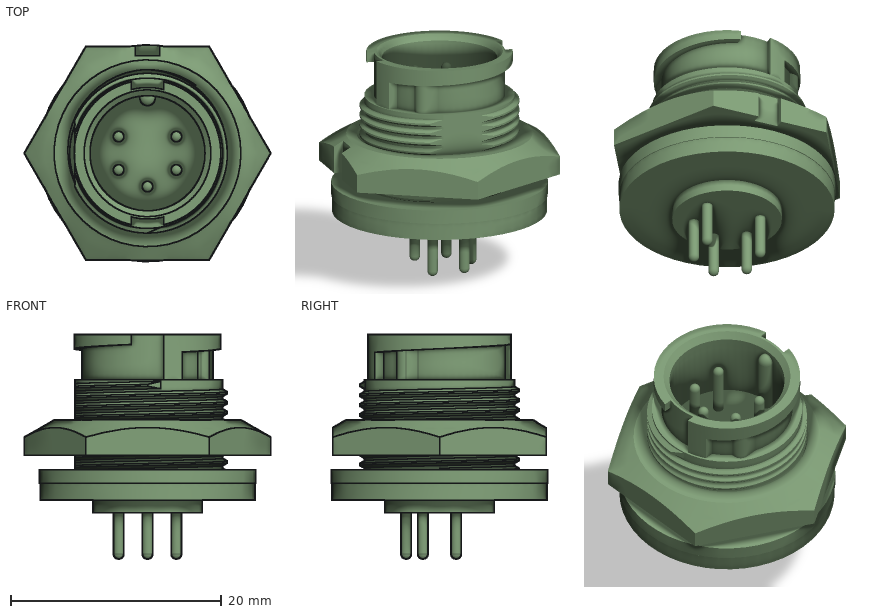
import cadquery as cq
import math


FLANGE_RADIUS = 10.31
FLANGE_RIM_HEIGHT = 1.3
FLANGE_BACK_RADIUS = 10.235
FLANGE_BACK_HEIGHT = 1.61
BOSS_RADIUS = 5.21
BOSS_HEIGHT = 1.2
FLANGE_BOTTOM = -(FLANGE_RIM_HEIGHT + FLANGE_BACK_HEIGHT)
BOSS_BOTTOM = FLANGE_BOTTOM - BOSS_HEIGHT

SHOULDER_Z = 8.54
BARREL_RADIUS = 7.15
BARREL_FLAT_X = -6.9
THREAD_PITCH = 25.4 / 27
THREAD_RADIUS = 7.6
THREAD_CREST_WIDTH = 0.18
THREAD_FLANK_ANGLE = 30
THREAD_ROOT_OVERLAP = 0.05
THREAD_START_Z = 0.72 - THREAD_PITCH
THREAD_END_ANGLE = 280
THREAD_TURNS = 8 + THREAD_END_ANGLE / 360
RUNOUT_X = 1.24
RUNOUT_HEIGHT = 1.0

TOP_Z = 12.85
SLEEVE_RADIUS = 6.25
LUG_RADIUS = 6.97
BORE_RADIUS = 5.47
BORE_FLOOR_Z = 5.47
BORE_CHAMFER = 0.56
NOTCH_HALF_WIDTH = 1.53
RAMP_HIGH_Z = 11.9
RAMP_PITCH = 1.92
STOP_X = 3.3
GROOVE_START_ANGLE = 296
GROOVE_END_ANGLE = 360 + 90
DETENT_FACE_X = 5.89
DETENT_FACE_Y = -4.05
DETENT_CORNER_RADIUS = 0.85

PIN_RADIUS = 0.5
PIN_CIRCLE_RADIUS = 3.17
PIN_ANGLES = (30, 150, 210, 270, 330)
PIN_TOP_Z = 10.83
PIN_BOTTOM_Z = -8.51
KEY_RADIUS = 0.73
KEY_Y = 5.25
KEY_TOP_Z = 11.9

NUT_BOTTOM_Z = 1.34
NUT_HEIGHT = 3.39
NUT_TOP_Z = NUT_BOTTOM_Z + NUT_HEIGHT
NUT_CORNER_RADIUS = 23.46 / 2
NUT_TOP_FACE_RADIUS = 8.88
NUT_CHAMFER_ANGLE = 30
NUT_BORE_RADIUS = 7.4
NUT_GROOVE_RADIUS = 7.94
NUT_GROOVE_ROOT_WIDTH = 0.02
NUT_NOTCH_WIDTH = 2.36
NUT_NOTCH_FLOOR_Y = 9.29

CUT_MARGIN = 1.0


def cylinder(radius, bottom, top):
    return cq.Workplane("XY").workplane(offset=bottom).circle(radius).extrude(top - bottom)


def box(x_range, y_range, z_range):
    spans = [high - low for low, high in (x_range, y_range, z_range)]
    corner = (x_range[0], y_range[0], z_range[0])
    return cq.Workplane("XY").box(*spans, centered=False).translate(corner)


def helical_sweep(section, pitch, turns, start_z):
    """Sweep (radius, height) points right-handed around Z, starting at +X."""
    radius = max(r for r, _ in section)
    path = cq.Workplane(cq.Wire.makeHelix(pitch, turns * pitch, radius))
    body = cq.Workplane("XZ").polyline(section).close().sweep(path, isFrenet=True)
    return body.translate((0, 0, start_z))


def thread_ridge(tip_radius, tip_width, base_radius, turns, start_z):
    """A helical trapezoid, narrow at the tip radius and wide at the base radius."""
    tip_half = tip_width / 2
    flank_spread = (tip_radius - base_radius) * math.tan(math.radians(THREAD_FLANK_ANGLE))
    base_half = tip_half + flank_spread
    section = [
        (base_radius, -base_half),
        (tip_radius, -tip_half),
        (tip_radius, tip_half),
        (base_radius, base_half),
    ]
    return helical_sweep(section, THREAD_PITCH, turns, start_z)


def beyond_flat():
    """Everything on the -X side of the barrel flat, above the flange."""
    return box((-FLANGE_RADIUS, BARREL_FLAT_X), (-FLANGE_RADIUS, FLANGE_RADIUS), (0, SHOULDER_Z))


def barrel_thread():
    """External thread whose last turn tapers away to the barrel surface."""
    base_radius = BARREL_RADIUS - THREAD_ROOT_OVERLAP
    ridge = thread_ridge(THREAD_RADIUS, THREAD_CREST_WIDTH, base_radius, THREAD_TURNS, THREAD_START_Z)
    runout_y = -math.sqrt(BARREL_RADIUS**2 - RUNOUT_X**2)
    outer_x = RUNOUT_X + CUT_MARGIN
    outer_y = -THREAD_RADIUS - CUT_MARGIN
    runout_outline = [
        (0, -THREAD_RADIUS),
        (RUNOUT_X, runout_y),
        (outer_x, runout_y),
        (outer_x, outer_y),
        (0, outer_y),
    ]
    runout = (
        cq.Workplane("XY").workplane(offset=SHOULDER_Z - RUNOUT_HEIGHT)
        .polyline(runout_outline).close().extrude(RUNOUT_HEIGHT)
    )
    return ridge.cut(runout)


def barrel():
    """Threaded barrel with one long flat; the lowest turn starts below the flange face."""
    core = cylinder(BARREL_RADIUS, FLANGE_BOTTOM, SHOULDER_Z)
    return core.union(barrel_thread()).cut(beyond_flat())


def flange():
    rim = cylinder(FLANGE_RADIUS, -FLANGE_RIM_HEIGHT, 0)
    back = cylinder(FLANGE_BACK_RADIUS, FLANGE_BOTTOM, -FLANGE_RIM_HEIGHT)
    boss = cylinder(BOSS_RADIUS, BOSS_BOTTOM, FLANGE_BOTTOM)
    return rim.union(back).union(boss)


def below_ramp():
    """Ring sector from the shoulder up to the ramp, from the +X stop wall round to the +Y notch.

    The ramp is a helix that climbs from the stop wall and reaches its full height at the notch.
    """
    turns = (GROOVE_END_ANGLE - GROOVE_START_ANGLE) / 360
    notch_edge_angle = 360 + math.degrees(math.acos(NOTCH_HALF_WIDTH / LUG_RADIUS))
    start_z = RAMP_HIGH_Z - RAMP_PITCH * (notch_edge_angle - GROOVE_START_ANGLE) / 360
    depth = RAMP_HIGH_Z - SHOULDER_Z
    outer_radius = LUG_RADIUS + CUT_MARGIN
    section = [(BORE_RADIUS, -depth), (outer_radius, -depth), (outer_radius, 0), (BORE_RADIUS, 0)]
    sector = helical_sweep(section, RAMP_PITCH, turns, start_z)
    sector = sector.rotate((0, 0, 0), (0, 0, 1), GROOVE_START_ANGLE)
    behind_stop = box((0, STOP_X), (-outer_radius, 0), (0, TOP_Z))
    return sector.intersect(cylinder(outer_radius, SHOULDER_Z, TOP_Z)).cut(behind_stop)


def detent():
    """Round-cornered bump that stands in the groove in front of the stop wall."""
    block = box((0, DETENT_FACE_X), (DETENT_FACE_Y, 0), (SHOULDER_Z, RAMP_HIGH_Z))
    return block.edges("|Z and >X and <Y").fillet(DETENT_CORNER_RADIUS)


def bayonet_sleeve():
    """Plain sleeve with two bayonet lugs, each a half-turn copy of the other."""
    groove = below_ramp().cut(detent())
    lugs = cylinder(LUG_RADIUS, SHOULDER_Z, TOP_Z)
    for angle in (0, 180):
        lugs = lugs.cut(groove.rotate((0, 0, 0), (0, 0, 1), angle))
    notches = box((-NOTCH_HALF_WIDTH, NOTCH_HALF_WIDTH), (-LUG_RADIUS, LUG_RADIUS), (SHOULDER_Z, TOP_Z))
    return lugs.cut(notches).union(cylinder(SLEEVE_RADIUS, SHOULDER_Z, TOP_Z))


def bore():
    hole = cylinder(BORE_RADIUS, BORE_FLOOR_Z, TOP_Z)
    mouth = (
        cq.Workplane("XY").workplane(offset=TOP_Z).circle(BORE_RADIUS + BORE_CHAMFER)
        .workplane(offset=-BORE_CHAMFER).circle(BORE_RADIUS).loft()
    )
    return hole.union(mouth)


def round_end(radius, equator_z):
    return cq.Workplane("XY").sphere(radius).translate((0, 0, equator_z))


def pin():
    top = PIN_TOP_Z - PIN_RADIUS
    bottom = PIN_BOTTOM_Z + PIN_RADIUS
    shank = cylinder(PIN_RADIUS, bottom, top)
    return shank.union(round_end(PIN_RADIUS, top)).union(round_end(PIN_RADIUS, bottom))


def key_post():
    """Domed key half sunk into the bore wall."""
    top = KEY_TOP_Z - KEY_RADIUS
    post = cylinder(KEY_RADIUS, BORE_FLOOR_Z, top).union(round_end(KEY_RADIUS, top))
    return post.translate((0, KEY_Y, 0)).intersect(cylinder(SLEEVE_RADIUS, BORE_FLOOR_Z, TOP_Z))


def make_connector():
    body = flange().union(bayonet_sleeve()).union(barrel())
    body = body.cut(bore()).union(key_post())
    for angle in PIN_ANGLES:
        contact = pin().translate((PIN_CIRCLE_RADIUS, 0, 0))
        body = body.union(contact.rotate((0, 0, 0), (0, 0, 1), angle))
    return body


def nut_thread_groove():
    """Internal thread groove in step with the barrel thread, running out both faces."""
    turns = math.ceil((NUT_TOP_Z - THREAD_START_Z) / THREAD_PITCH) + 1
    inner_radius = NUT_BORE_RADIUS - THREAD_ROOT_OVERLAP
    return thread_ridge(NUT_GROOVE_RADIUS, NUT_GROOVE_ROOT_WIDTH, inner_radius, turns, THREAD_START_Z)


def nut_envelope():
    """Cone-topped solid that chamfers the upper corners of the hexagon."""
    corner_radius = NUT_CORNER_RADIUS + CUT_MARGIN
    drop = (corner_radius - NUT_TOP_FACE_RADIUS) * math.tan(math.radians(NUT_CHAMFER_ANGLE))
    half_section = [
        (0, NUT_BOTTOM_Z),
        (corner_radius, NUT_BOTTOM_Z),
        (corner_radius, NUT_TOP_Z - drop),
        (NUT_TOP_FACE_RADIUS, NUT_TOP_Z),
        (0, NUT_TOP_Z),
    ]
    return cq.Workplane("XZ").polyline(half_section).close().revolve(360, (0, 0), (0, 1))


def make_nut():
    blank = (
        cq.Workplane("XY").workplane(offset=NUT_BOTTOM_Z)
        .polygon(6, 2 * NUT_CORNER_RADIUS).extrude(NUT_HEIGHT)
        .intersect(nut_envelope())
    )
    half_notch = NUT_NOTCH_WIDTH / 2
    notch_depth_span = (NUT_NOTCH_FLOOR_Y, NUT_CORNER_RADIUS)
    edge_notch = box((-half_notch, half_notch), notch_depth_span, (NUT_BOTTOM_Z, NUT_TOP_Z))
    hole = cylinder(NUT_BORE_RADIUS, NUT_BOTTOM_Z, NUT_TOP_Z)
    return blank.cut(edge_notch).cut(hole).cut(nut_thread_groove())


connector = make_connector()
nut = make_nut()
result = cq.Compound.makeCompound([*connector.solids().vals(), *nut.solids().vals()])